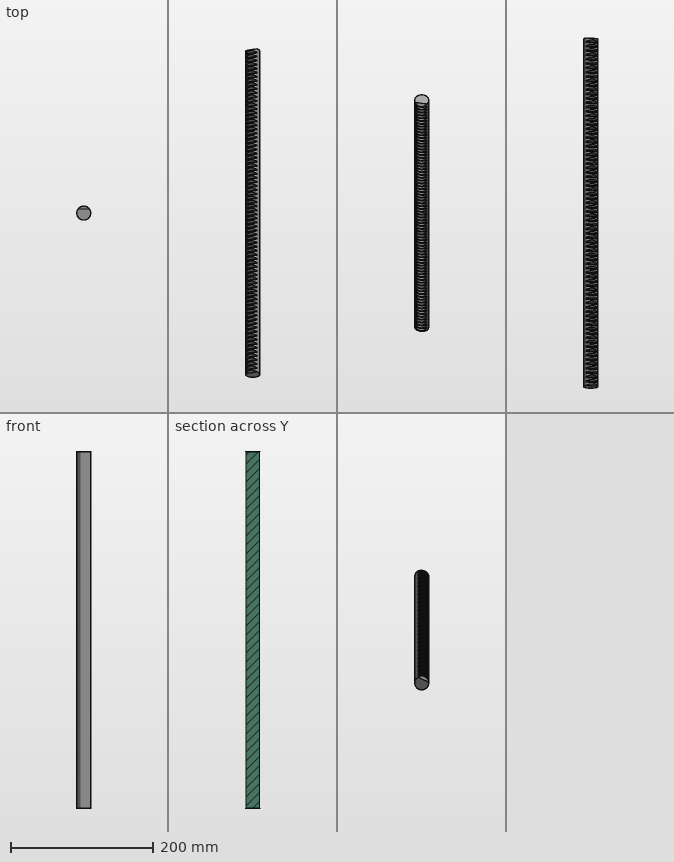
import cadquery as cq
import math

bar_diameter = 20.0
bar_length = 502.09
bar_radius = bar_diameter / 2

module = 2.0
tooth_count = 80
flank_angle = 20.0
crest_y = 9.98
addendum = module
dedendum = 1.25 * module

pitch = math.pi * module
tooth_depth = addendum + dedendum
root_y = crest_y - tooth_depth
flank_slope = math.tan(math.radians(flank_angle))
tooth_root_width = pitch / 2 + 2 * dedendum * flank_slope
tooth_crest_width = pitch / 2 - 2 * addendum * flank_slope


def tooth_points(center_z):
    """Four (y, z) corners of one tooth, from its lower root to its upper root."""
    return [
        (root_y, center_z - tooth_root_width / 2),
        (crest_y, center_z - tooth_crest_width / 2),
        (crest_y, center_z + tooth_crest_width / 2),
        (root_y, center_z + tooth_root_width / 2),
    ]


def make_bar():
    """Plain cylinder centred on the origin."""
    return cq.Workplane("XY").circle(bar_radius).extrude(bar_length / 2, both=True)


def make_rack_envelope():
    """Prism of the rack profile, as wide as the bar; short root lands remain at both ends."""
    half_length = bar_length / 2
    points = [(-bar_radius, -half_length), (root_y, -half_length)]
    for index in range(tooth_count):
        center_z = (index - (tooth_count - 1) / 2) * pitch
        points.extend(tooth_points(center_z))
    points.extend([(root_y, half_length), (-bar_radius, half_length)])
    return cq.Workplane("YZ").polyline(points).close().extrude(bar_radius, both=True)


result = make_bar().intersect(make_rack_envelope())